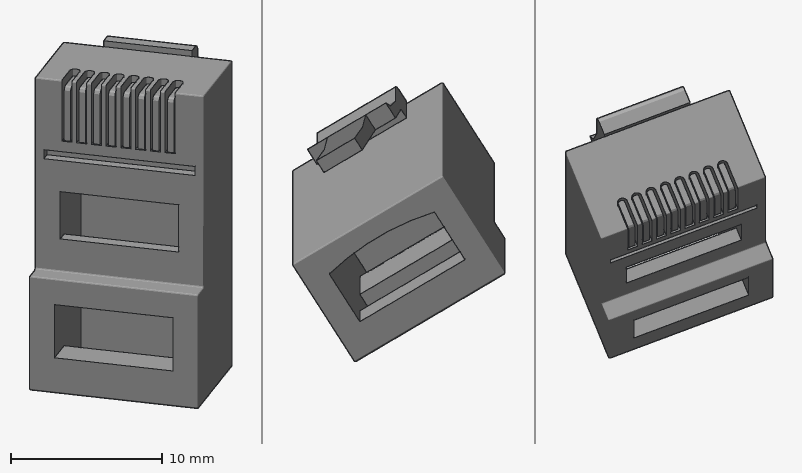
import cadquery as cq
import math

width = 11.68
depth = 7.94
height = 21.8
foot_step = 1.33
foot_height = 8.14
edge_radius = 0.122

cavity_width = 8.15
cavity_front = 2.25
cavity_side_back = 6.1
cavity_arch_rise = 0.49

lower_window = (2.53, 6.32)
upper_window = (10.49, 13.85)

groove_width = 10.42
groove_bottom = 16.07
groove_height = 0.65
groove_depth = 0.73

contact_count = 8
contact_row_span = 7.12
contact_row_offset = -0.07
slot_width = 0.69
slot_depth = 2.2
slot_bottom = 17.47
blade_width = 0.45
blade_top = 21.3
blade_setback = 0.13
blade_radius = 0.35

latch_top = 22.17
latch_width = 6.1
lever_width = 2.97
latch_root_thickness = 1.37
latch_root_bottom = 18.35
latch_corner_radius = 0.6
arm_start = 0.69
arm_knee_out = 2.02
arm_knee_height = 15.39
shoulder_out = 2.62
shoulder_height = 14.32
lever_knee_out = 3.02
lever_knee_height = 10.38
lever_tip_out = 4.01
lever_tip_height = 4.95
latch_angle = 10.0

upper_front = foot_step
cavity_top = upper_window[1]
contact_pitch = contact_row_span / (contact_count - 1)


def box_between(x_size, y_min, y_max, z_min, z_max, x_centre=0.0):
    """Box centred on x_centre in X, between the given Y and Z limits."""
    box = cq.Workplane("XY").box(x_size, y_max - y_min, z_max - z_min, centered=(True, False, False))
    return box.translate((x_centre, y_min, z_min))


def make_housing():
    """Stepped block with all its outer edges and the step corner rounded."""
    return (
        cq.Workplane("YZ")
        .moveTo(0, 0)
        .lineTo(depth, 0)
        .lineTo(depth, height)
        .lineTo(upper_front, height)
        .lineTo(upper_front, foot_height)
        .lineTo(0, foot_height)
        .close()
        .extrude(width / 2, both=True)
        .edges()
        .fillet(edge_radius)
    )


def make_cavity():
    """Cable cavity and the two windows that open into it."""
    half = cavity_width / 2
    cavity = (
        cq.Workplane("XY")
        .moveTo(-half, cavity_front)
        .lineTo(half, cavity_front)
        .lineTo(half, cavity_side_back)
        .threePointArc((0, cavity_side_back + cavity_arch_rise), (-half, cavity_side_back))
        .close()
        .extrude(cavity_top)
    )
    for bottom, top in (lower_window, upper_window):
        cavity = cavity.union(box_between(cavity_width, 0, cavity_side_back, bottom, top))
    return cavity.clean()


def make_groove():
    """Shallow groove running across the upper front face."""
    return box_between(
        groove_width, upper_front, upper_front + groove_depth, groove_bottom, groove_bottom + groove_height
    )


def make_slot(x):
    """Slot open at the front and top, with a round inner end."""
    round_centre = upper_front + slot_depth - slot_width / 2
    slot = box_between(slot_width, 0, round_centre, slot_bottom, height, x)
    round_end = (
        cq.Workplane("XY", origin=(x, round_centre, slot_bottom))
        .circle(slot_width / 2)
        .extrude(height - slot_bottom)
    )
    return slot.union(round_end)


def make_blade(x):
    """Contact blade with its upper front edge rounded, reaching into the wall behind the slot."""
    blade = box_between(
        blade_width, upper_front + blade_setback, upper_front + slot_depth, slot_bottom, blade_top, x
    )
    return blade.edges(">Z and <Y").fillet(blade_radius)


def make_latch():
    """Latch outline swept across X; its inner face slopes away from the housing back."""
    inner_slope = math.tan(math.radians(latch_angle))

    def inner_out(z):
        """Distance of the sloping inner face from the housing back at height z."""
        return arm_start + (latch_root_bottom - z) * inner_slope

    workplane = cq.Workplane("YZ", origin=(0, depth, 0))
    corner_mid = latch_corner_radius * (1 - math.sqrt(0.5))
    arm = (
        workplane.moveTo(0, latch_root_bottom)
        .lineTo(0, latch_top)
        .lineTo(latch_root_thickness - latch_corner_radius, latch_top)
        .threePointArc(
            (latch_root_thickness - corner_mid, latch_top - corner_mid),
            (latch_root_thickness, latch_top - latch_corner_radius),
        )
        .lineTo(latch_root_thickness, latch_root_bottom)
        .lineTo(arm_knee_out, arm_knee_height)
        .lineTo(shoulder_out, shoulder_height)
        .lineTo(inner_out(shoulder_height), shoulder_height)
        .lineTo(arm_start, latch_root_bottom)
        .close()
        .extrude(latch_width / 2, both=True)
    )
    lever = (
        workplane.moveTo(inner_out(shoulder_height), shoulder_height)
        .lineTo(shoulder_out, shoulder_height)
        .lineTo(lever_knee_out, lever_knee_height)
        .lineTo(lever_tip_out, lever_tip_height)
        .lineTo(inner_out(lever_tip_height), lever_tip_height)
        .close()
        .extrude(lever_width / 2, both=True)
    )
    return arm.union(lever)


result = make_housing().cut(make_cavity()).cut(make_groove())
for index in range(contact_count):
    contact_x = contact_row_offset + index * contact_pitch - contact_row_span / 2
    result = result.cut(make_slot(contact_x)).union(make_blade(contact_x))
result = result.union(make_latch())